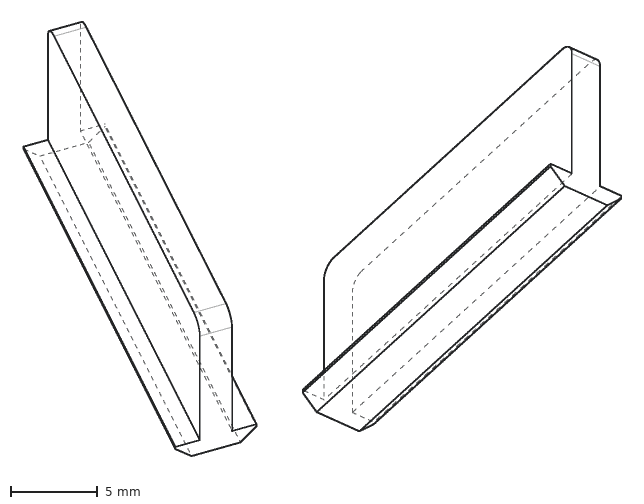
import cadquery as cq

length = 24.9
total_height = 11.2
plate_thickness = 2.0
corner_radius = 1.0
foot_width = 5.0
foot_height = 1.2
foot_bevel = 1.0


def make_foot():
    """Dovetail foot: a bar whose two lower long edges are beveled."""
    bar = cq.Workplane("XY").box(length, foot_width, foot_height, centered=(True, True, False))
    return bar.faces("<Z").edges("|X").chamfer(foot_bevel)


def make_plate():
    """Upright plate with rounded upper corners."""
    plate = cq.Workplane("XY").box(length, plate_thickness, total_height, centered=(True, True, False))
    return plate.faces(">Z").edges("|Y").fillet(corner_radius)


result = make_foot().union(make_plate())